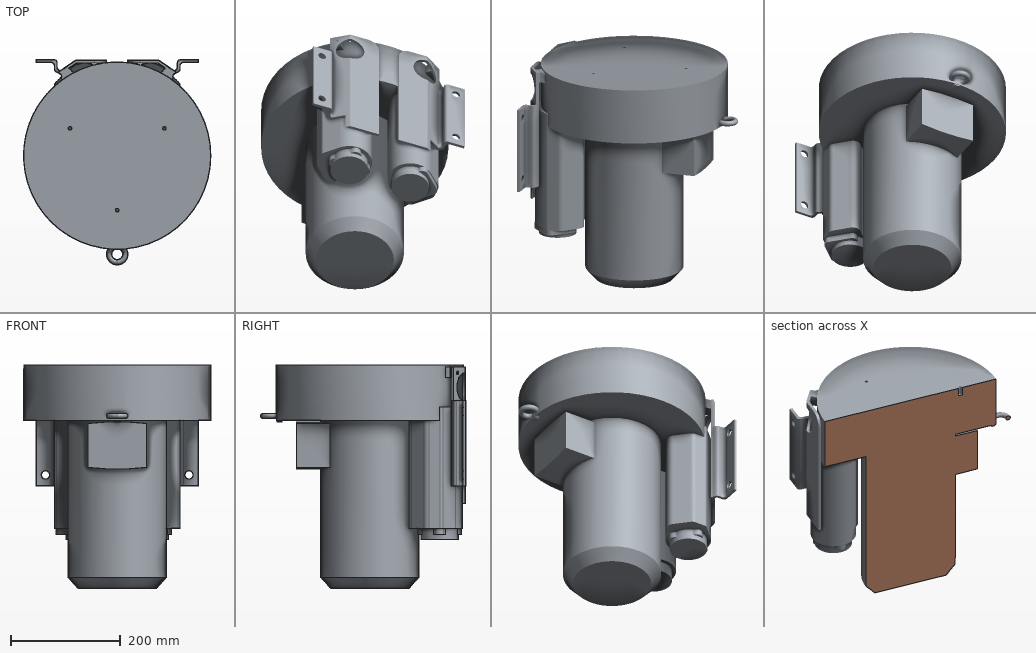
import cadquery as cq
import math


total_height = 406.5
fan_radius = 170.5
fan_bottom = 306.0
motor_radius = 89.5
motor_tip_radius = 71.0
motor_taper_height = 20.5
mount_hole_diameter = 6.5
mount_hole_circle = 99.2
mount_hole_depth = 16.3
mount_hole_angles = (30, 150, 270)

box_half_width = 53
box_front = -134.0
box_back = -71.5
box_edge_top = 300.0
box_edge_bottom = 220.5
box_crown = 3.3

eye_outer_radius = 19.5
eye_wire_radius = 5.0
eye_y = -179.5
eye_z = 314.0
collar_radius = 10.5
collar_inner_y = -160.2
collar_outer_y = -168.8

silencer_angle = 45
outlet_x = 59.5
outlet_y = 127.0
outlet_radius = 34.0
outlet_bottom = 89.0
silencer_radius = 41.5
silencer_reach = 56.0
arm_inner_width = 31.0
arm_inner_corner_radius = 14.2
silencer_bevel = 20.0
bevel_side_radius = 8
bevel_end_radius = 12
silencer_bottom = 109.5
silencer_top = 330.2
flange_left_x = -72.0
flange_right_x = 59.0
flange_side = 62.0
flange_corner_radius = 10.0
flange_bottom = 98.0

sheet_thickness = 5.3
bend_radius = 6.0
back_face = 175
foot_outer_x = -147.5
foot_leg_x = -112.0
foot_knee_y = 155.8
foot_end = (-104.0, 151.5)
foot_bottom = 186.5
foot_top = 342.0
foot_hole_x = -130.5
foot_hole_diameter = 14.5
foot_hole_inset = 20.0
plate_inner_x = -19.0
plate_y = 171.2
plate_fold_x = -74.5
plate_end = (-105.5, 150.0)
plate_bottom = 154.5
plate_top = 403.5
plate_corner_radius = 22.5
trim_margin = 20.5
window_radius = 26.0
window_z = 366
screw_hole_diameter = 5.5
screw_hole_y = 158.0
screw_hole_z = 392.5
drill_reach = 24.5
block_outline = [(-106.0, 152.0), (-90.3, 162.3), (-78.0, 149.3), (-89.5, 126), (-100.5, 136.2), (-101.5, 146.0)]
block_height = 19.0


def prism(outline, bottom, top):
    return cq.Workplane("XY", origin=(0, 0, bottom)).polyline(outline).close().extrude(top - bottom)


def cylinder(radius, x, y, bottom, top):
    return cq.Workplane("XY", origin=(x, y, bottom)).circle(radius).extrude(top - bottom)


def bent_strip(path, bottom, top):
    """Upright sheet along a plan path of its mid-line, rounded on both faces at every bend."""
    half = sheet_thickness / 2
    directions = []
    for start, end in zip(path, path[1:]):
        length = math.dist(start, end)
        directions.append(((end[0] - start[0]) / length, (end[1] - start[1]) / length))
    first_side = []
    second_side = []
    for index, (x, y) in enumerate(path):
        before = directions[max(index - 1, 0)]
        after = directions[min(index, len(directions) - 1)]
        scale = half / (1 + before[0] * after[0] + before[1] * after[1])
        shift_x = -(before[1] + after[1]) * scale
        shift_y = (before[0] + after[0]) * scale
        first_side.append((x + shift_x, y + shift_y))
        second_side.append((x - shift_x, y - shift_y))
    strip = prism(first_side + second_side[::-1], bottom, top)
    for side in (first_side, second_side):
        for x, y in side[1:-1]:
            bend = cq.selectors.NearestToPointSelector((x, y, (bottom + top) / 2))
            strip = strip.edges("|Z").edges(bend).fillet(bend_radius)
    return strip


def fan_and_motor():
    profile = [
        (0, 0),
        (motor_tip_radius, 0),
        (motor_radius, motor_taper_height),
        (motor_radius, fan_bottom),
        (fan_radius, fan_bottom),
        (fan_radius, total_height),
        (0, total_height),
    ]
    body = cq.Workplane("XZ").polyline(profile).close().revolve(360, (0, 0, 0), (0, 1, 0))
    for angle in mount_hole_angles:
        x = mount_hole_circle * math.cos(math.radians(angle))
        y = mount_hole_circle * math.sin(math.radians(angle))
        hole_bottom = total_height - mount_hole_depth
        body = body.cut(cylinder(mount_hole_diameter / 2, x, y, hole_bottom, total_height))
    return body


def terminal_box():
    return (
        cq.Workplane("XZ", origin=(0, box_back, 0))
        .moveTo(-box_half_width, box_edge_bottom)
        .threePointArc((0, box_edge_bottom - box_crown), (box_half_width, box_edge_bottom))
        .lineTo(box_half_width, box_edge_top)
        .threePointArc((0, box_edge_top + box_crown), (-box_half_width, box_edge_top))
        .close()
        .extrude(box_back - box_front)
    )


def eye_ring():
    ring = cq.Solid.makeTorus(eye_outer_radius - eye_wire_radius, eye_wire_radius)
    return cq.Workplane(ring).rotate((0, 0, 0), (0, 0, 1), -90).translate((0, eye_y, eye_z))


def eye_collar():
    collar = cq.Workplane("XZ", origin=(0, collar_inner_y, eye_z)).circle(collar_radius)
    return collar.extrude(collar_inner_y - collar_outer_y)


def left_silencer():
    arm_root = -math.sqrt(silencer_radius**2 - arm_inner_width**2)
    case = (
        cq.Workplane("XY")
        .moveTo(arm_root, -arm_inner_width)
        .threePointArc((silencer_radius, 0), (0, silencer_radius))
        .lineTo(silencer_bevel - silencer_reach, silencer_radius)
        .lineTo(-silencer_reach, silencer_radius - silencer_bevel)
        .lineTo(-silencer_reach, -arm_inner_width)
        .close()
        .extrude(silencer_top - silencer_bottom)
    )
    case = case.edges("|Z").edges("<X").edges("<Y").fillet(arm_inner_corner_radius)
    case = case.edges("|Z").edges("<X").edges(">Y").fillet(bevel_end_radius)
    case = case.edges("|Z").edges(">Y").edges("<X").fillet(bevel_side_radius)
    outlet = cylinder(outlet_radius, 0, 0, outlet_bottom - silencer_bottom, 0)
    turned = case.union(outlet).rotate((0, 0, 0), (0, 0, 1), silencer_angle)
    return turned.translate((-outlet_x, outlet_y, silencer_bottom))


def silencer_flange(x):
    plane = cq.Plane((x, outlet_y, flange_bottom), xDir=(1, 1, 0), normal=(0, 0, 1))
    block = cq.Workplane(plane).rect(flange_side, flange_side).extrude(silencer_bottom - flange_bottom)
    return block.edges("|Z").fillet(flange_corner_radius)


def left_foot():
    foot_y = back_face - sheet_thickness / 2
    path = [(foot_outer_x, foot_y), (foot_leg_x, foot_y), (foot_leg_x, foot_knee_y), foot_end]
    foot = bent_strip(path, foot_bottom, foot_top)
    for z in (foot_bottom + foot_hole_inset, foot_top - foot_hole_inset):
        hole = (
            cq.Workplane("XZ", origin=(foot_hole_x, back_face, z))
            .circle(foot_hole_diameter / 2)
            .extrude(2 * sheet_thickness)
        )
        foot = foot.cut(hole)
    return foot


def angled_drill(x, y, z, radius, angle):
    """Level cylinder centred on a point, its axis turned by an angle in radians from +Y toward -X."""
    axis = cq.Vector(-math.sin(angle), math.cos(angle), 0)
    plane = cq.Plane((x, y, z), xDir=(0, 0, 1), normal=axis)
    return cq.Workplane(plane).circle(radius).extrude(drill_reach, both=True)


def left_plate():
    fold = (plate_fold_x, plate_y)
    plate = bent_strip([(plate_inner_x, plate_y), fold, plate_end], plate_bottom, plate_top)
    plate = plate.edges(">X and |Y").edges(">Z").fillet(plate_corner_radius)
    trim_back = plate_y - sheet_thickness / 2
    trim_front = plate_end[1] - trim_margin
    trim_left = plate_end[0] - trim_margin
    trim_outline = [
        (plate_fold_x, trim_back),
        (plate_fold_x, trim_front),
        (trim_left, trim_front),
        (trim_left, trim_back),
    ]
    plate = plate.cut(prism(trim_outline, plate_bottom, foot_bottom))

    slope = math.atan2(plate_y - plate_end[1], plate_fold_x - plate_end[0])
    plate = plate.cut(angled_drill(plate_fold_x, plate_y, window_z, window_radius, slope / 2))
    screw_x = plate_end[0] + (screw_hole_y - plate_end[1]) / math.tan(slope)
    return plate.cut(angled_drill(screw_x, screw_hole_y, screw_hole_z, screw_hole_diameter / 2, slope))


left_parts = [
    left_silencer(),
    left_foot(),
    left_plate(),
    prism(block_outline, plate_top - block_height, plate_top),
]

result = fan_and_motor().union(terminal_box()).union(eye_collar()).union(eye_ring())
for part in left_parts:
    result = result.union(part).union(part.mirror("YZ"))
for flange_x in (flange_left_x, flange_right_x):
    result = result.union(silencer_flange(flange_x))